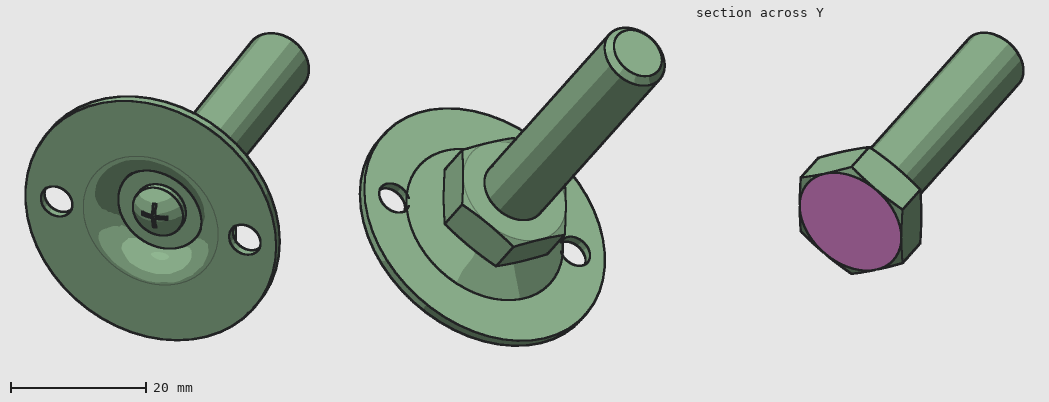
import cadquery as cq
import math

total_length = 51.0

flange_diameter = 40.0
flange_thickness = 1.5
cone_base_radius = 13.0
cone_top_radius = 6.7

mount_hole_diameter = 5.0
mount_hole_offset = 15.0

dish_floor_radius = 6.8
dish_roll_radius = 4.0

head_diameter = 8.0
head_rim_height = 1.1
head_dome_height = 1.7
cross_length = 4.0
cross_width = 0.5
cross_depth = 0.5

nut_start = 4.8
nut_height = 6.3
nut_across_flats = 17.05
nut_bevel_height = 0.35

rod_diameter = 10.0
rod_chamfer = 1.0


def cylinder(diameter, start, length):
    """Round bar along +Y beginning at Y = start."""
    return cq.Workplane("XZ", origin=(0, start, 0)).circle(diameter / 2).extrude(-length)


def revolve_about_y(profile):
    """Turn a closed XY profile, with X as radius, about the Y axis."""
    return profile.close().revolve(360, (0, 0, 0), (0, 1, 0))


def make_foot():
    """Drilled flange and cone with a dish that rolls smoothly into its face."""
    flange = cylinder(flange_diameter, 0, flange_thickness)
    holes = (
        cq.Workplane("XZ")
        .pushPoints([(-mount_hole_offset, 0), (mount_hole_offset, 0)])
        .circle(mount_hole_diameter / 2)
        .extrude(-flange_thickness)
    )
    cone = revolve_about_y(
        cq.Workplane("XY")
        .moveTo(0, flange_thickness)
        .lineTo(cone_base_radius, flange_thickness)
        .lineTo(cone_top_radius, nut_start)
        .lineTo(0, nut_start)
    )
    roll_centre_radius = dish_floor_radius + dish_roll_radius
    diagonal = dish_roll_radius * math.sqrt(0.5)
    dish = revolve_about_y(
        cq.Workplane("XY")
        .lineTo(roll_centre_radius, 0)
        .threePointArc(
            (roll_centre_radius - diagonal, dish_roll_radius - diagonal),
            (dish_floor_radius, dish_roll_radius),
        )
        .lineTo(0, dish_roll_radius)
    )
    return flange.cut(holes).union(cone).cut(dish)


def make_screw_head():
    """Domed head on the dish floor with a cross recess."""
    radius = head_diameter / 2
    rim = dish_roll_radius - head_rim_height
    apex = rim - head_dome_height
    sphere_radius = (radius**2 + head_dome_height**2) / (2 * head_dome_height)
    mid_radius = radius / 2
    mid_level = apex + sphere_radius - math.sqrt(sphere_radius**2 - mid_radius**2)
    head = revolve_about_y(
        cq.Workplane("XY")
        .moveTo(0, dish_roll_radius)
        .lineTo(radius, dish_roll_radius)
        .lineTo(radius, rim)
        .threePointArc((mid_radius, mid_level), (0, apex))
    )
    recess_floor = apex + cross_depth
    for size_x, size_z in ((cross_length, cross_width), (cross_width, cross_length)):
        arm = cq.Workplane("XZ", origin=(0, recess_floor, 0)).rect(size_x, size_z).extrude(recess_floor)
        head = head.cut(arm)
    return head


def make_nut():
    """Hexagon with corners on the Z axis and both ends bevelled."""
    corner_diameter = nut_across_flats / math.cos(math.pi / 6)
    hexagon = (
        cq.Workplane("XZ", origin=(0, nut_start, 0))
        .transformed(rotate=(0, 0, 90))
        .polygon(6, corner_diameter)
        .extrude(-nut_height)
    )
    bevel_width = (corner_diameter - nut_across_flats) / 2
    envelope = cylinder(corner_diameter, nut_start, nut_height)
    envelope = envelope.faces("<Y").chamfer(nut_bevel_height, bevel_width)
    envelope = envelope.faces(">Y").chamfer(nut_bevel_height, bevel_width)
    return hexagon.intersect(envelope)


def make_rod():
    """Plain rod with a chamfered free end."""
    rod = cylinder(rod_diameter, nut_start, total_length - nut_start)
    return rod.faces(">Y").chamfer(rod_chamfer)


result = make_foot().union(make_screw_head()).union(make_nut()).union(make_rod())